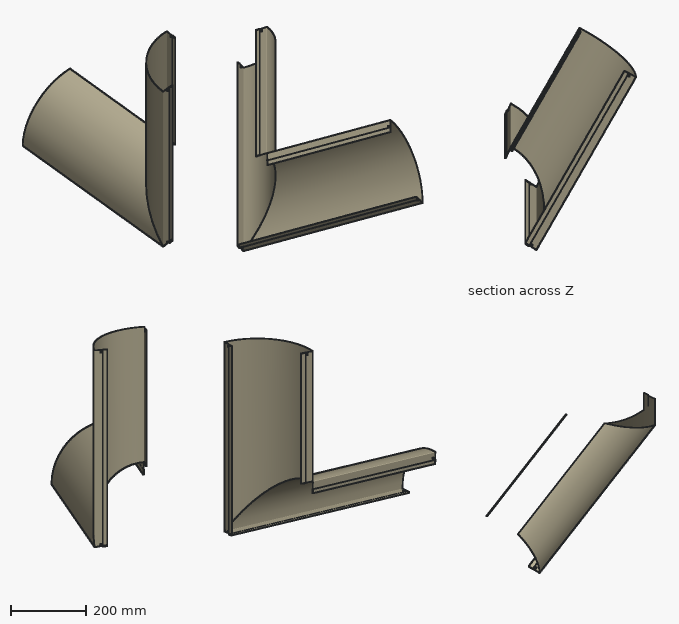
import cadquery as cq
import math

ARM_LENGTH = 550.0
DEPTH = 172.0
WALL = 0.8

BEND_DIAMETER = 2.1
FLANGE_LEAN = math.radians(5.5)
FLANGE_WIDTH = 36.0
HEM_LENGTH = 13.0
HEM_GAP = 1.5

HOLE_DIAMETER = 4.0
HOLE_END_DISTANCE = 6.5
HOLE_EDGE_DISTANCE = 17.5
HOLE_DEPTH = 5.5

RELIEF_LENGTH = DEPTH / 2
RELIEF_THICKNESS = 5.5

LEAN_COS = math.cos(FLANGE_LEAN)
LEAN_SIN = math.sin(FLANGE_LEAN)

BEND_RADIUS = BEND_DIAMETER / 2
FOLD_RADIUS = HEM_GAP / 2 + WALL
FOLD_TIP = FLANGE_WIDTH - BEND_RADIUS
FOLD_AXIS = FOLD_TIP - FOLD_RADIUS
HEM_EDGE = FOLD_TIP - HEM_LENGTH
FLANGE_OUTSIDE = -BEND_RADIUS
FLANGE_INSIDE = FLANGE_OUTSIDE + WALL
HEM_INSIDE = FLANGE_OUTSIDE - HEM_GAP
HEM_OUTSIDE = HEM_INSIDE - WALL
FOLD_LEVEL = (FLANGE_OUTSIDE + HEM_INSIDE) / 2

BEND_Z = -HEM_EDGE * LEAN_SIN - HEM_OUTSIDE * LEAN_COS
SHELL_INSET = BEND_Z - BEND_RADIUS
SHELL_RADIUS = DEPTH - SHELL_INSET
BEND_Y = SHELL_RADIUS - math.sqrt((SHELL_RADIUS - BEND_RADIUS) ** 2 - BEND_RADIUS ** 2)


def across_profile(point):
    """Image of a (y, z) point across the symmetry line of the quarter-round profile."""
    y, z = point
    return (DEPTH - z, DEPTH - y)


def on_flange(along, inward):
    """(y, z) of a point given along and across the front flange, from its bend axis."""
    return (
        BEND_Y + along * LEAN_COS - inward * LEAN_SIN,
        BEND_Z + along * LEAN_SIN + inward * LEAN_COS,
    )


def on_bend(radius, angle):
    """(y, z) of a point on the front bend; the angle is measured from +Y."""
    return (BEND_Y + radius * math.cos(angle), BEND_Z + radius * math.sin(angle))


def shell_middle(radius):
    """(y, z) of the middle of a shell face with the given radius."""
    offset = radius * math.sqrt(0.5)
    return (SHELL_RADIUS - offset, SHELL_INSET + offset)


def flange_segments():
    """Front flange outline from the shell's outer face, round the hem, to the shell's inner face.

    Each segment is a list of the points it passes: two for a line, three for an arc.
    """
    shell_angle = math.atan2(BEND_Z - SHELL_INSET, BEND_Y - SHELL_RADIUS)
    flange_angle = FLANGE_LEAN + 1.5 * math.pi
    middle_angle = (shell_angle + flange_angle) / 2
    inner_bend = BEND_RADIUS - WALL
    outside_start = on_flange(0, FLANGE_OUTSIDE)
    inside_start = on_flange(0, FLANGE_INSIDE)
    fold_in_start = on_flange(FOLD_AXIS, FLANGE_OUTSIDE)
    fold_in_middle = on_flange(FOLD_AXIS + HEM_GAP / 2, FOLD_LEVEL)
    fold_in_end = on_flange(FOLD_AXIS, HEM_INSIDE)
    hem_edge_in = on_flange(HEM_EDGE, HEM_INSIDE)
    hem_edge_out = on_flange(HEM_EDGE, HEM_OUTSIDE)
    fold_out_start = on_flange(FOLD_AXIS, HEM_OUTSIDE)
    fold_out_middle = on_flange(FOLD_TIP, FOLD_LEVEL)
    fold_out_end = on_flange(FOLD_AXIS, FLANGE_INSIDE)
    return [
        [on_bend(BEND_RADIUS, shell_angle), on_bend(BEND_RADIUS, middle_angle), outside_start],
        [outside_start, fold_in_start],
        [fold_in_start, fold_in_middle, fold_in_end],
        [fold_in_end, hem_edge_in],
        [hem_edge_in, hem_edge_out],
        [hem_edge_out, fold_out_start],
        [fold_out_start, fold_out_middle, fold_out_end],
        [fold_out_end, inside_start],
        [inside_start, on_bend(inner_bend, middle_angle), on_bend(inner_bend, shell_angle)],
    ]


def arm_profile():
    """Closed outline of the shell with both hemmed flanges."""
    front = flange_segments()
    back = [[across_profile(point) for point in reversed(segment)] for segment in reversed(front)]
    outer_start = front[0][0]
    inner_end = front[-1][-1]
    inner_face = [inner_end, shell_middle(SHELL_RADIUS - WALL), across_profile(inner_end)]
    outer_face = [across_profile(outer_start), shell_middle(SHELL_RADIUS), outer_start]

    outline = cq.Workplane("YZ").moveTo(*outer_start)
    for segment in [*front, inner_face, *back, outer_face]:
        if len(segment) == 2:
            outline = outline.lineTo(*segment[1])
        else:
            outline = outline.threePointArc(*segment[1:])
    return outline.close()


def beyond_mitre():
    """Everything on the far side of the 45 degree plane through the outer corner."""
    return (
        cq.Workplane("XZ")
        .polyline([(ARM_LENGTH, 0), (ARM_LENGTH, ARM_LENGTH), (0, ARM_LENGTH)])
        .close()
        .extrude(-DEPTH)
    )


def back_flange_relief():
    """Stretch of the back flange that would reach past the inner corner of the elbow."""
    return (
        cq.Workplane("XY")
        .box(RELIEF_LENGTH, RELIEF_THICKNESS, RELIEF_LENGTH, centered=False)
        .translate((ARM_LENGTH - DEPTH, DEPTH - RELIEF_THICKNESS, DEPTH - BEND_DIAMETER - RELIEF_LENGTH))
    )


def front_flange_holes():
    """Cutters for a hole near each end of the front flange."""
    stations = (HOLE_END_DISTANCE, ARM_LENGTH - HOLE_END_DISTANCE)
    return (
        cq.Workplane("XY")
        .pushPoints([(x, HOLE_EDGE_DISTANCE) for x in stations])
        .circle(HOLE_DIAMETER / 2)
        .extrude(HOLE_DEPTH)
    )


def back_flange_hole():
    """Cutter for the hole near the open end of the back flange."""
    return (
        cq.Workplane("XZ", origin=(0, DEPTH, 0))
        .center(HOLE_END_DISTANCE, DEPTH - HOLE_EDGE_DISTANCE)
        .circle(HOLE_DIAMETER / 2)
        .extrude(HOLE_DEPTH)
    )


def make_arm():
    """Arm along X, mitred at its far end."""
    arm = arm_profile().extrude(ARM_LENGTH)
    arm = arm.cut(beyond_mitre()).cut(back_flange_relief())
    return arm.cut(front_flange_holes()).cut(back_flange_hole())


horizontal_arm = make_arm()
vertical_arm = horizontal_arm.mirror((1, 0, 1), (ARM_LENGTH, 0, 0))

result = cq.Compound.makeCompound([horizontal_arm.val(), vertical_arm.val()])